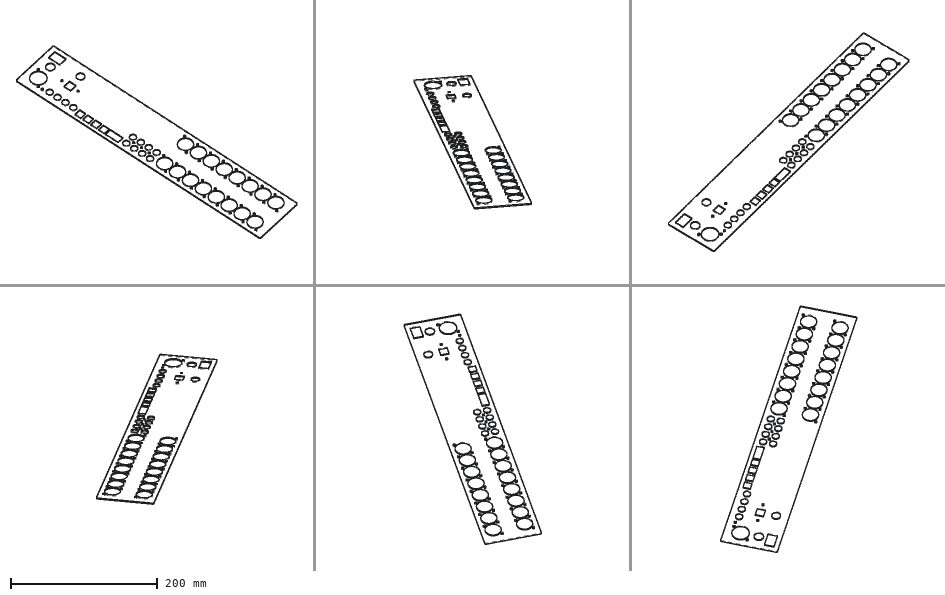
import cadquery as cq

length = 435.0
width = 80.0
thickness = 2.0
corner_radius = 2.0

small_count = 4
small_span = 42.0
small_pitch = small_span / (small_count - 1)

socket_count = 8
socket_diameter = 22.0
socket_span = 161.0
socket_pitch = socket_span / (socket_count - 1)
first_socket_x = 250.0
socket_rows_y = (18.0, 62.0)
socket_screw_offset = (10.0, 10.0)
socket_screw_diameter = 3.2

power_x = 21.0
power_socket_y = 23.0
power_socket_diameter = 24.0
power_screw_offset = (9.5, 11.7)
power_screw_diameter = 3.5
fuse_y = 48.7
fuse_diameter = 13.0
switch_center = (18.3, 66.5)
switch_size = (20.0, 13.5)
ground_screw_x = 38.0

data_x = 63.0
data_port_y = 40.0
data_port_size = 11.7
data_screw_offset = 14.5
data_round_y = 62.0
data_round_diameter = 12.0
plain_screw_diameter = 3.2

jack_diameter = 10.0
first_jack_x = 48.7
jack_y = 14.0

window_size = 10.5
first_window_x = 105.5
window_y = 11.0
wide_window_x = 166.0
wide_window_length = 22.5

block_diameter = 10.0
first_block_x = 187.0
block_lower_y = 11.7


def row(first_x, y, count, pitch):
    """Points of an evenly spaced row running along X."""
    return [(first_x + i * pitch, y) for i in range(count)]


def diagonal_screws(center, offset):
    """Upper-left and lower-right screw positions around a round connector."""
    x, y = center
    dx, dy = offset
    return [(x - dx, y + dy), (x + dx, y - dy)]


def cut_round(plate, points, diameter):
    """Cut round through holes at the given points."""
    cutter = cq.Workplane("XY").pushPoints(points).circle(diameter / 2).extrude(thickness)
    return plate.cut(cutter)


def cut_rectangles(plate, points, size_x, size_y):
    """Cut rectangular through windows centred on the given points."""
    cutter = cq.Workplane("XY").pushPoints(points).rect(size_x, size_y).extrude(thickness)
    return plate.cut(cutter)


def cut_sockets(plate):
    for row_y in socket_rows_y:
        for center in row(first_socket_x, row_y, socket_count, socket_pitch):
            plate = cut_round(plate, [center], socket_diameter)
            plate = cut_round(plate, diagonal_screws(center, socket_screw_offset), socket_screw_diameter)
    return plate


def cut_power_section(plate):
    center = (power_x, power_socket_y)
    ground_screw = (ground_screw_x, power_socket_y - power_screw_offset[1])
    plate = cut_round(plate, [center], power_socket_diameter)
    plate = cut_round(plate, diagonal_screws(center, power_screw_offset), power_screw_diameter)
    plate = cut_round(plate, [ground_screw], plain_screw_diameter)
    plate = cut_round(plate, [(power_x, fuse_y)], fuse_diameter)
    return cut_rectangles(plate, [switch_center], *switch_size)


def cut_data_section(plate):
    screws = [(data_x + side * data_screw_offset, data_port_y) for side in (-1, 1)]
    plate = cut_rectangles(plate, [(data_x, data_port_y)], data_port_size, data_port_size)
    plate = cut_round(plate, screws, plain_screw_diameter)
    return cut_round(plate, [(data_x, data_round_y)], data_round_diameter)


def cut_lower_row(plate):
    jacks = row(first_jack_x, jack_y, small_count, small_pitch)
    windows = row(first_window_x, window_y, small_count, small_pitch)
    plate = cut_round(plate, jacks, jack_diameter)
    plate = cut_rectangles(plate, windows, window_size, window_size)
    return cut_rectangles(plate, [(wide_window_x, window_y)], wide_window_length, window_size)


def cut_jack_block(plate):
    for row_y in (block_lower_y, block_lower_y + small_pitch):
        plate = cut_round(plate, row(first_block_x, row_y, small_count, small_pitch), block_diameter)
    screws_x = first_block_x + small_pitch / 2
    screws_y = block_lower_y + small_pitch / 2
    screws = row(screws_x, screws_y, small_count - 1, small_pitch)
    return cut_round(plate, screws, plain_screw_diameter)


result = cq.Workplane("XY").box(length, width, thickness, centered=False)
result = result.edges("|Z").fillet(corner_radius)
result = cut_sockets(result)
result = cut_power_section(result)
result = cut_data_section(result)
result = cut_lower_row(result)
result = cut_jack_block(result)